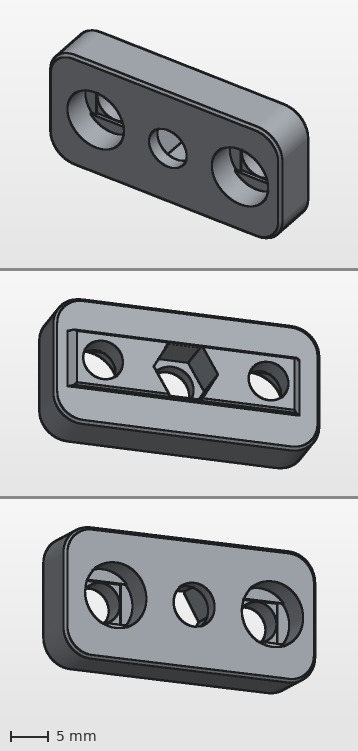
import cadquery as cq
import math

length = 37.0
height = 18.0
body_depth = 7.0
corner_radius = 4.0
edge_chamfer = 0.4

rib_rise = 1.0
rib_height = 8.0
rib_base_length = 32.25
rib_chamfer = 0.3
total_depth = body_depth + rib_rise

row_offset = 0.5
hole_pitch = 11.5
centre_hole_diameter = 6.0
bolt_hole_diameter = 5.5
counterbore_diameter = 9.0
counterbore_depth = 4.0

step_width = 5.62
step_depth = 0.3

nut_across_flats = 7.75
nut_pocket_floor = 2.0


def front_plane(y):
    """Sketch plane facing +Y at depth y, centred on the hole row (local x is -X)."""
    return cq.Workplane("XZ", origin=(row_offset, y, 0)).transformed(rotate=(0, 180, 0))


def cylinder(x, diameter, depth):
    """Round cutter reaching from the front face to the given depth."""
    return front_plane(0).center(-x, 0).circle(diameter / 2).extrude(depth)


def make_body():
    plate = cq.Workplane("XY").box(length, body_depth, height, centered=(True, False, True))
    plate = plate.edges("|Y").fillet(corner_radius)
    return plate.faces("<Y or >Y").edges().chamfer(edge_chamfer)


def make_rib():
    half_base = rib_base_length / 2
    half_top = half_base - rib_rise
    rib = (
        cq.Workplane("XY", origin=(row_offset, 0, -rib_height / 2))
        .moveTo(-half_base, body_depth)
        .lineTo(half_base, body_depth)
        .lineTo(half_top, total_depth)
        .lineTo(-half_top, total_depth)
        .close()
        .extrude(rib_height)
    )
    return rib.faces(">Y").edges("|X").chamfer(rib_chamfer)


def bolt_hole(x):
    """Counterbore, full-width slot step, square step and through hole."""
    counterbore = cylinder(x, counterbore_diameter, counterbore_depth)
    slot = (
        front_plane(counterbore_depth)
        .center(-x, 0)
        .rect(counterbore_diameter, step_width)
        .extrude(step_depth)
        .intersect(cylinder(x, counterbore_diameter, total_depth))
    )
    square = (
        front_plane(counterbore_depth)
        .center(-x, 0)
        .rect(step_width, step_width)
        .extrude(2 * step_depth)
    )
    through = cylinder(x, bolt_hole_diameter, total_depth)
    return counterbore.union(slot).union(square).union(through)


def nut_pocket():
    """Hexagon with flats at top and bottom."""
    across_corners = nut_across_flats / math.cos(math.pi / 6)
    return (
        front_plane(nut_pocket_floor)
        .polygon(6, across_corners)
        .extrude(total_depth - nut_pocket_floor)
    )


result = make_body().union(make_rib())
for side in (-1, 1):
    result = result.cut(bolt_hole(side * hole_pitch))
result = result.cut(cylinder(0, centre_hole_diameter, total_depth))
result = result.cut(nut_pocket())
result = result.translate((0, -total_depth / 2, 0))